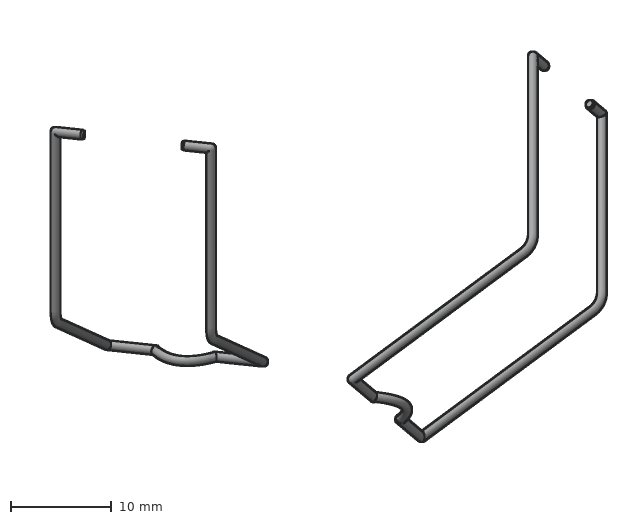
import cadquery as cq
import math

width = 17.0
depth = 20.8
height = 32.25
wire_diameter = 1.0
wire_radius = wire_diameter / 2

hook_length = 3.45
tip_chamfer_length = 0.25
tip_chamfer_inset = 0.1
leg_angle = 28.5
leg_bend_radius = 2.0
dip_half_span = 3.13
dip_depth = 1.9
bar_end_x = 2.9

leg_x = width / 2 - wire_radius
bar_y = depth - wire_diameter
hook_z = height - wire_diameter
hook_tip_x = width / 2 - hook_length

slope_y = math.cos(math.radians(leg_angle))
slope_z = math.sin(math.radians(leg_angle))
bend_corner_z = bar_y * math.tan(math.radians(leg_angle))
bend_turn = math.radians(90 - leg_angle)
bend_tangent = leg_bend_radius * math.tan(bend_turn / 2)
bend_top = (0, bend_corner_z + bend_tangent)
bend_bottom = (bend_tangent * slope_y, bend_corner_z - bend_tangent * slope_z)
bend_center = (leg_bend_radius, bend_top[1])
bend_middle = (
    bend_center[0] - leg_bend_radius * math.cos(bend_turn / 2),
    bend_center[1] - leg_bend_radius * math.sin(bend_turn / 2),
)


def ball(x, y, z):
    """Rounded joint where two straight pieces of wire meet."""
    return cq.Workplane("XY").sphere(wire_radius).translate((x, y, z))


def leg():
    """Upright, bend and sloping leg, swept along the centreline."""
    path = (
        cq.Workplane("YZ", origin=(leg_x, 0, 0))
        .moveTo(0, hook_z)
        .lineTo(*bend_top)
        .threePointArc(bend_middle, bend_bottom)
        .lineTo(bar_y, 0)
    )
    start = cq.Workplane("XY", origin=(leg_x, 0, hook_z))
    return start.circle(wire_radius).sweep(path)


def hook():
    """Short inward peg with a chamfered tip at the top of a leg."""
    length = leg_x - hook_tip_x
    start = cq.Workplane("YZ", origin=(leg_x, 0, hook_z))
    peg = start.circle(wire_radius).extrude(-length)
    return peg.faces("<X").edges().chamfer(tip_chamfer_length, tip_chamfer_inset)


def bar():
    """Straight piece of the cross bar between a leg and the dip."""
    start = cq.Workplane("YZ", origin=(leg_x, bar_y, 0))
    return start.circle(wire_radius).extrude(-(leg_x - bar_end_x))


def dip():
    """Parabolic dip in the middle of the cross bar."""
    control_drop = 2 * dip_depth
    path = cq.Workplane("XY").bezier([
        (-dip_half_span, bar_y),
        (0, bar_y - control_drop),
        (dip_half_span, bar_y),
    ])
    start_plane = cq.Plane(
        origin=(-dip_half_span, bar_y, 0),
        xDir=(0, 0, 1),
        normal=(dip_half_span, -control_drop, 0),
    )
    return cq.Workplane(start_plane).circle(wire_radius).sweep(path)


right_half = hook()
right_half = right_half.union(ball(leg_x, 0, hook_z))
right_half = right_half.union(leg())
right_half = right_half.union(ball(leg_x, bar_y, 0))
right_half = right_half.union(bar())
result = right_half.union(dip()).union(right_half.mirror("YZ"))